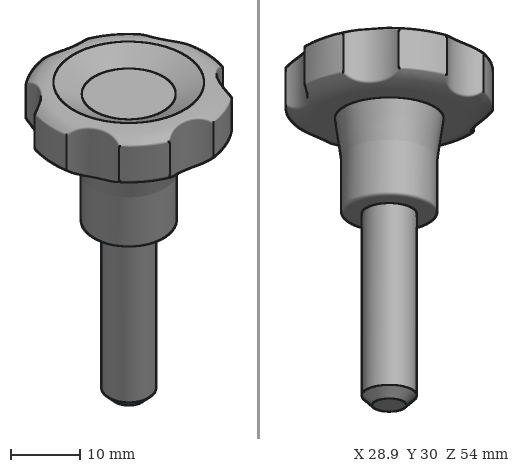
import cadquery as cq
import math

total_height = 54.0
head_height = 9.0
head_radius = 15.0
top_crown_drop = 1.4
bottom_crown_rise = 1.6
edge_fillet = 0.3

scallop_count = 6
scallop_radius = 6.25
scallop_floor = 12.95

dish_lip_radius = 10.9
dish_floor_radius = 6.8
dish_depth = 2.0
flat_ring_width = 0.45
flat_radius = dish_lip_radius + flat_ring_width

neck_top_radius = 7.9
neck_height = 6.3
hub_radius = 14.0 / 2
hub_height = 8.65
hub_fillet = 0.5
stem_radius = 8.0 / 2
tip_chamfer = 1.5

head_bottom = total_height - head_height
neck_bottom = head_bottom - neck_height
hub_bottom = neck_bottom - hub_height


def crown_midpoint(drop):
    """Radius and drop halfway along a crown arc that leaves the flat face tangentially."""
    width = head_radius - flat_radius
    arc_radius = (width**2 + drop**2) / (2 * drop)
    half_angle = math.asin(width / arc_radius) / 2
    return (
        flat_radius + arc_radius * math.sin(half_angle),
        arc_radius * (1 - math.cos(half_angle)),
    )


def turn(profile):
    """Revolve a closed (radius, height) profile about the Z axis."""
    return profile.revolve(360, (0, 0, 0), (0, 1, 0))


def make_head():
    """Crowned disc with finger scallops and a softened outline."""
    top_mid_radius, top_mid_drop = crown_midpoint(top_crown_drop)
    bottom_mid_radius, bottom_mid_rise = crown_midpoint(bottom_crown_rise)
    disc = turn(
        cq.Workplane("YZ")
        .moveTo(0, head_bottom)
        .lineTo(flat_radius, head_bottom)
        .threePointArc(
            (bottom_mid_radius, head_bottom + bottom_mid_rise),
            (head_radius, head_bottom + bottom_crown_rise),
        )
        .lineTo(head_radius, total_height - top_crown_drop)
        .threePointArc((top_mid_radius, total_height - top_mid_drop), (flat_radius, total_height))
        .lineTo(0, total_height)
        .close()
    )
    scallops = (
        cq.Workplane("XY", origin=(0, 0, head_bottom))
        .polarArray(scallop_floor + scallop_radius, 0, 360, scallop_count)
        .circle(scallop_radius)
        .extrude(head_height)
    )
    outline = disc.cut(scallops).faces("%CYLINDER").edges("not |Z")
    return outline.fillet(edge_fillet)


def make_dish():
    """Volume of the shallow conical bowl with a flat floor, sunk into the top face."""
    floor_height = total_height - dish_depth
    return turn(
        cq.Workplane("YZ")
        .moveTo(0, floor_height)
        .lineTo(dish_floor_radius, floor_height)
        .lineTo(dish_lip_radius, total_height)
        .lineTo(0, total_height)
        .close()
    )


def make_shank():
    """Neck, hub and stem as one turned body on the axis of the head."""
    return turn(
        cq.Workplane("YZ")
        .lineTo(stem_radius - tip_chamfer, 0)
        .lineTo(stem_radius, tip_chamfer)
        .lineTo(stem_radius, hub_bottom)
        .lineTo(hub_radius - hub_fillet, hub_bottom)
        .radiusArc((hub_radius, hub_bottom + hub_fillet), -hub_fillet)
        .lineTo(hub_radius, neck_bottom)
        .lineTo(neck_top_radius, head_bottom)
        .lineTo(0, head_bottom)
        .close()
    )


result = make_head().cut(make_dish()).union(make_shank())